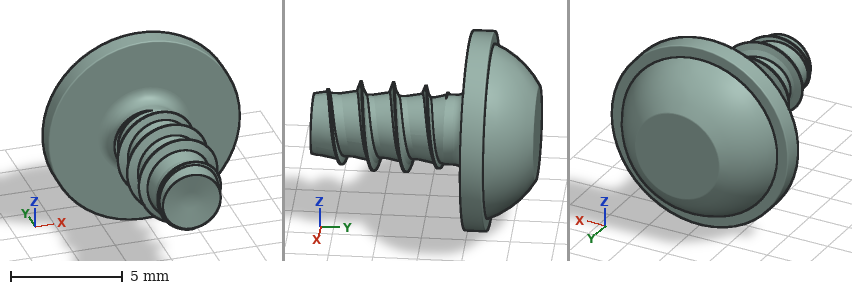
import cadquery as cq
import math


flange_radius = 4.5
flange_thickness = 1.0
flange_edge_round = 0.06
dome_root_round = 0.1
dome_height = 2.1
dome_base_radius = 3.94
dome_top_radius = 2.13

shank_radius = 1.575
shank_length = 1.0
neck_round = 0.6
core_radius = 1.41
shank_taper_end = 1.62
shaft_length = 7.0
blank_length = 9.0
tip_taper_slope = 0.187
tip_radius = 1.36
dimple_radius = 1.30
dimple_depth = 0.2

pitch = 1.463
crest_depth_at_plus_x = 1.535
first_crest_depth = 0.65
last_crest_depth = 7.3
helix_stretches = 7
points_per_stretch = 24

full_height_start = 2.4
lead_in_slope = 0.2
full_height_end = 4.87
run_out_slope = 0.28

buried_radius = 1.1
crest_radius = 2.0
foot_radius = 1.66
ridge_section = [
    (-0.46, buried_radius),
    (-0.13, foot_radius),
    (-0.035, crest_radius),
    (0.015, crest_radius),
    (0.305, buried_radius),
]
swell_start_radius = 1.577
swell_end_radius = 1.40
swell_length = 0.94
swell_end_cap_lean = 0.11
swell_section = [
    (0.0, buried_radius),
    (0.0, swell_start_radius),
    (swell_length, swell_end_radius),
    (swell_length + swell_end_cap_lean, buried_radius),
]

fin_thickness = 0.035
fin_shift = 0.16


def revolve_about_y(profile):
    return profile.close().revolve(360, (0, 0, 0), (0, 1, 0))


def make_head():
    flange = cq.Workplane("XZ").circle(flange_radius).extrude(-flange_thickness)
    flange = flange.faces("<Y or >Y").edges().fillet(flange_edge_round)
    centre_drop = (dome_base_radius**2 - dome_top_radius**2 - dome_height**2) / (2 * dome_height)
    sphere_radius = math.hypot(dome_base_radius, centre_drop)
    mid_height = dome_height / 2
    mid_radius = math.sqrt(sphere_radius**2 - (centre_drop + mid_height) ** 2)
    dome_top = flange_thickness + dome_height
    dome = revolve_about_y(
        cq.Workplane("ZY")
        .moveTo(0, flange_thickness)
        .lineTo(dome_base_radius, flange_thickness)
        .threePointArc((mid_radius, flange_thickness + mid_height), (dome_top_radius, dome_top))
        .lineTo(0, dome_top)
    )
    dome_root = cq.selectors.RadiusNthSelector(1)
    return flange.union(dome).edges(dome_root).fillet(dome_root_round)


def make_shank():
    """Plain shank with the neck round that joins it to the flange."""
    inset = neck_round * (1 - math.sqrt(0.5))
    return revolve_about_y(
        cq.Workplane("ZY")
        .lineTo(shank_radius + neck_round, 0)
        .threePointArc((shank_radius + inset, -inset), (shank_radius, -neck_round))
        .lineTo(shank_radius, -shank_length)
        .lineTo(0, -shank_length)
    )


def make_core():
    """Cylinder under the thread, flared to the shank and longer than the finished shaft."""
    return revolve_about_y(
        cq.Workplane("ZY")
        .lineTo(shank_radius, 0)
        .lineTo(shank_radius, -shank_length)
        .lineTo(core_radius, -shank_taper_end)
        .lineTo(core_radius, -blank_length)
        .lineTo(0, -blank_length)
    )


def no_sink(crest_depth):
    return 0.0


def ridge_sink(crest_depth):
    """How far the ridge lies below its full height at the lead-in and the run-out."""
    lead_in = lead_in_slope * (full_height_start - crest_depth)
    run_out = run_out_slope * (crest_depth - full_height_end)
    return max(0.0, lead_in, run_out)


def helix_point(crest_depth, offset, radius):
    angle = 2 * math.pi * (crest_depth - crest_depth_at_plus_x) / pitch
    return cq.Vector(radius * math.cos(angle), -crest_depth - offset, radius * math.sin(angle))


def helical_curves(section, sink, start, end):
    """One helical curve for each corner of the section, between two crest depths."""
    curves = []
    for offset, radius in section:
        points = []
        for i in range(points_per_stretch + 1):
            crest_depth = start + (end - start) * i / points_per_stretch
            points.append(helix_point(crest_depth, offset, radius - sink(crest_depth)))
        curves.append(cq.Edge.makeSpline(points))
    return curves


def end_cap(section, sink, crest_depth):
    corners = [helix_point(crest_depth, offset, r - sink(crest_depth)) for offset, r in section]
    return cq.Face.makeFromWires(cq.Wire.makePolygon(corners, close=True))


def helical_solid(section, sink):
    """Solid swept by a section along the helix: ruled flanks between its corners' curves."""
    faces = [end_cap(section, sink, first_crest_depth), end_cap(section, sink, last_crest_depth)]
    stretch = (last_crest_depth - first_crest_depth) / helix_stretches
    for i in range(helix_stretches):
        start = first_crest_depth + i * stretch
        curves = helical_curves(section, sink, start, start + stretch)
        faces += [cq.Face.makeRuledSurface(a, b) for a, b in zip(curves, curves[1:] + curves[:1])]
    return cq.Workplane(cq.Solid.makeSolid(cq.Shell.makeShell(faces)))


def make_threaded_length():
    """Core, swell and ridge; the tip taper trims the first two, and the end planes trim all three."""
    tip_limit = revolve_about_y(
        cq.Workplane("ZY")
        .lineTo(tip_radius + tip_taper_slope * shaft_length, 0)
        .lineTo(tip_radius, -shaft_length)
        .lineTo(tip_radius, -blank_length)
        .lineTo(0, -blank_length)
    )
    end_planes = (
        cq.Workplane("XZ", origin=(0, -shank_length, 0))
        .circle(flange_radius)
        .extrude(shaft_length - shank_length)
    )
    core = make_core().union(helical_solid(swell_section, no_sink)).intersect(tip_limit)
    ridge = helical_solid(ridge_section, ridge_sink)
    return core.union(ridge).intersect(end_planes)


def make_starting_fin():
    """Thin disc shifted towards -X, so that a crescent of it stands out where the thread starts."""
    return (
        cq.Workplane("XZ", origin=(0, -shank_length, 0))
        .center(-fin_shift, 0)
        .circle(shank_radius)
        .extrude(fin_thickness)
    )


def make_dimple():
    return revolve_about_y(
        cq.Workplane("ZY")
        .moveTo(0, -shaft_length)
        .lineTo(dimple_radius, -shaft_length)
        .lineTo(0, dimple_depth - shaft_length)
    )


shaft = make_shank().union(make_threaded_length()).union(make_starting_fin())
result = make_head().union(shaft).cut(make_dimple())